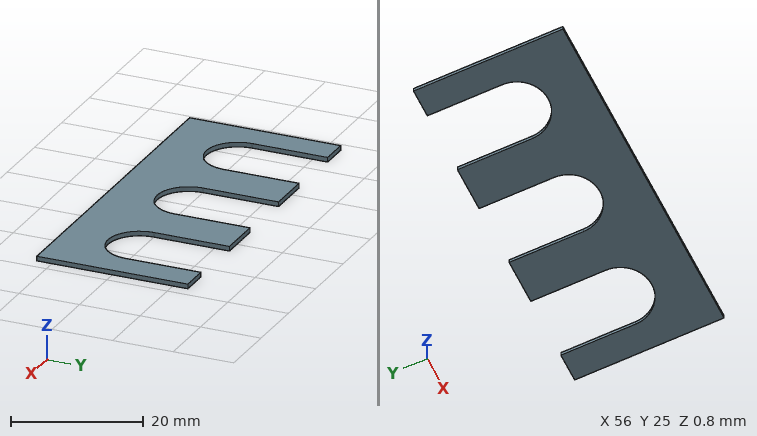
import cadquery as cq

length = 56.0
width = 25.0
thickness = 0.8

slot_count = 3
slot_pitch = 18.0
slot_width = 10.4
web_width = 7.3

slot_radius = slot_width / 2
open_edge_y = width / 2
arc_center_y = -width / 2 + web_width + slot_radius


def make_slot(center_x):
    """Cutter for one slot: straight sides with a half-round bottom."""
    return (
        cq.Workplane("XY")
        .moveTo(center_x - slot_radius, open_edge_y)
        .lineTo(center_x - slot_radius, arc_center_y)
        .threePointArc(
            (center_x, arc_center_y - slot_radius),
            (center_x + slot_radius, arc_center_y),
        )
        .lineTo(center_x + slot_radius, open_edge_y)
        .close()
        .extrude(thickness)
    )


result = cq.Workplane("XY").box(length, width, thickness, centered=(True, True, False))
for index in range(slot_count):
    slot_x = (index - (slot_count - 1) / 2) * slot_pitch
    result = result.cut(make_slot(slot_x))